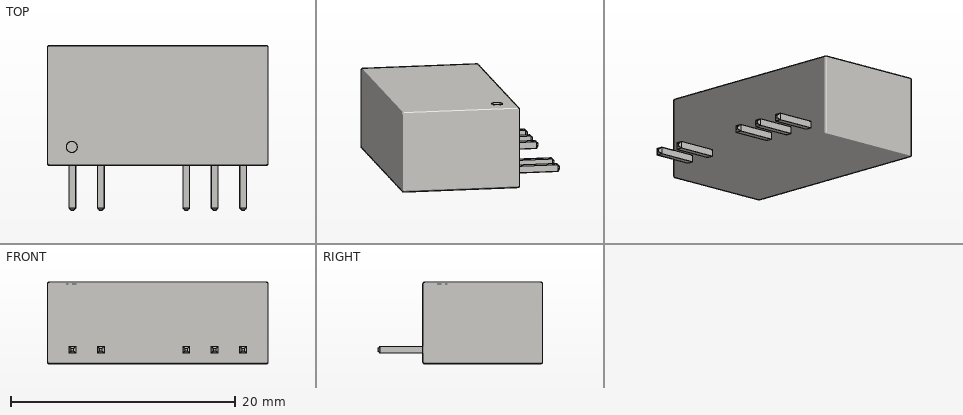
import cadquery as cq

body_width = 19.7
body_depth = 10.7
body_height = 7.3
edge_radius = 0.2

outer_pin_spacing = 15.23
pin_positions = (-3, -2, 1, 2, 3)
pin_pitch = outer_pin_spacing / (pin_positions[-1] - pin_positions[0])
pin_side = 0.61
pin_length = 4.0
pin_axis_height = 1.26
pin_tip_chamfer = 0.2

dimple_diameter = 0.98
dimple_depth = 0.2
dimple_x = -7.66
dimple_from_front = 1.65


def make_body():
    block = cq.Workplane("XY").box(
        body_width, body_depth, body_height, centered=(True, False, False)
    )
    return block.edges().fillet(edge_radius)


def make_pin(pin_x):
    """Square pin with a bevelled tip, starting inside the body so that it fuses."""
    root_depth = pin_side
    return (
        cq.Workplane("XZ", origin=(pin_x, root_depth, pin_axis_height))
        .rect(pin_side, pin_side)
        .extrude(root_depth + pin_length)
        .faces("<Y")
        .chamfer(pin_tip_chamfer)
    )


def make_dimple():
    """Cutter for the pin 1 mark."""
    return (
        cq.Workplane("XY", origin=(dimple_x, dimple_from_front, body_height))
        .circle(dimple_diameter / 2)
        .extrude(-dimple_depth)
    )


result = make_body().cut(make_dimple())
for position in pin_positions:
    result = result.union(make_pin(position * pin_pitch))